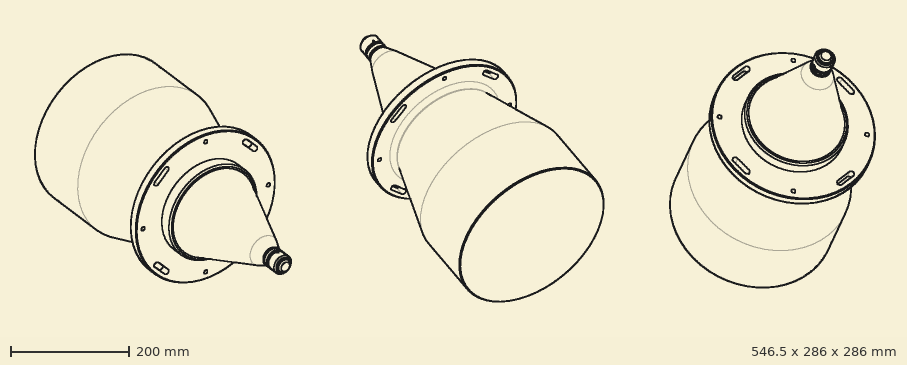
import cadquery as cq
import math

total_length = 546.5
body_end = 130.0
neck_start = 278.0
flange_start = 288.5
flange_thickness = 18.0
collar_end = 331.0
long_taper_end = 481.0
short_taper_end = 505.0
relief_width = 3.5
ring_end = 517.0
seam_width = 3.5
knob_end = 540.5

flange_diameter = 286.0
neck_radius = 100.0
neck_fillet = 9.0
collar_radius = 90.0
long_taper_start_radius = 83.5
long_taper_end_radius = 28.5
knob_diameter = 35.5
relief_depth = 1.0
seam_depth = 0.8
tip_radius = 12.0

rim_chamfer = 1.5
collar_chamfer = 3.5
knob_chamfer = 3.0
ring_chamfer = 1.0
tip_chamfer = 3.5

bolt_circle_radius = 128.5
slot_length = 38.0
slot_width = 10.0
pin_hole_diameter = 7.0
openings_per_circle = 4
slot_start_angle = 45.0

screw_hole_diameter = 3.5
screw_hole_depth = 5.5
screw_hole_x = 523.5
screw_hole_count = 3

flange_radius = flange_diameter / 2
knob_radius = knob_diameter / 2
flange_end = flange_start + flange_thickness
seam_end = ring_end + seam_width
fillet_start = flange_start - neck_fillet
knob_step = knob_end - knob_chamfer
relief_end = short_taper_end + relief_width


def make_profile():
    """Half outline of the part, to be revolved about the X axis."""
    half_arc = math.radians(45)
    arc_mid_x = fillet_start + neck_fillet * math.sin(half_arc)
    arc_mid_r = neck_radius + neck_fillet * (1 - math.cos(half_arc))
    return (
        cq.Workplane("XZ")
        .moveTo(0, 0)
        .lineTo(0, flange_radius - rim_chamfer)
        .lineTo(rim_chamfer, flange_radius)
        .lineTo(body_end, flange_radius)
        .lineTo(neck_start, neck_radius)
        .lineTo(fillet_start, neck_radius)
        .threePointArc((arc_mid_x, arc_mid_r), (flange_start, neck_radius + neck_fillet))
        .lineTo(flange_start, flange_radius - rim_chamfer)
        .lineTo(flange_start + rim_chamfer, flange_radius)
        .lineTo(flange_end - rim_chamfer, flange_radius)
        .lineTo(flange_end, flange_radius - rim_chamfer)
        .lineTo(flange_end, collar_radius)
        .lineTo(collar_end - collar_chamfer, collar_radius)
        .lineTo(collar_end, collar_radius - collar_chamfer)
        .lineTo(collar_end, long_taper_start_radius)
        .lineTo(long_taper_end, long_taper_end_radius)
        .lineTo(short_taper_end, knob_radius)
        .lineTo(short_taper_end, knob_radius - relief_depth)
        .lineTo(relief_end, knob_radius - relief_depth)
        .lineTo(relief_end, knob_radius)
        .lineTo(ring_end - ring_chamfer, knob_radius)
        .lineTo(ring_end, knob_radius - seam_depth)
        .lineTo(seam_end, knob_radius - seam_depth)
        .lineTo(seam_end, knob_radius)
        .lineTo(knob_step, knob_radius)
        .lineTo(knob_end, knob_radius - knob_chamfer)
        .lineTo(knob_end, tip_radius)
        .lineTo(total_length - tip_chamfer, tip_radius)
        .lineTo(total_length, tip_radius - tip_chamfer)
        .lineTo(total_length, 0)
        .close()
    )


def flange_openings():
    """Tangential slots on the diagonals and round holes between them, through the flange."""
    pitch = 360.0 / openings_per_circle
    plane = cq.Workplane("YZ", origin=(flange_start, 0, 0))
    slots = (
        plane.polarArray(bolt_circle_radius, slot_start_angle, 360, openings_per_circle)
        .slot2D(slot_length, slot_width, 90)
        .extrude(flange_thickness)
    )
    holes = (
        plane.polarArray(bolt_circle_radius, slot_start_angle - pitch / 2, 360, openings_per_circle)
        .circle(pin_hole_diameter / 2)
        .extrude(flange_thickness)
    )
    return slots.union(holes)


def screw_holes():
    """Blind radial holes spaced evenly round the knob, the first one on top."""
    drill = (
        cq.Workplane("XY", origin=(screw_hole_x, 0, knob_radius - screw_hole_depth))
        .circle(screw_hole_diameter / 2)
        .extrude(2 * screw_hole_depth)
    )
    holes = cq.Workplane("XY")
    for index in range(screw_hole_count):
        angle = index * 360.0 / screw_hole_count
        holes = holes.union(drill.rotate((0, 0, 0), (1, 0, 0), angle))
    return holes


turned = make_profile().revolve(360, (0, 0, 0), (1, 0, 0))
result = turned.cut(flange_openings()).cut(screw_holes())